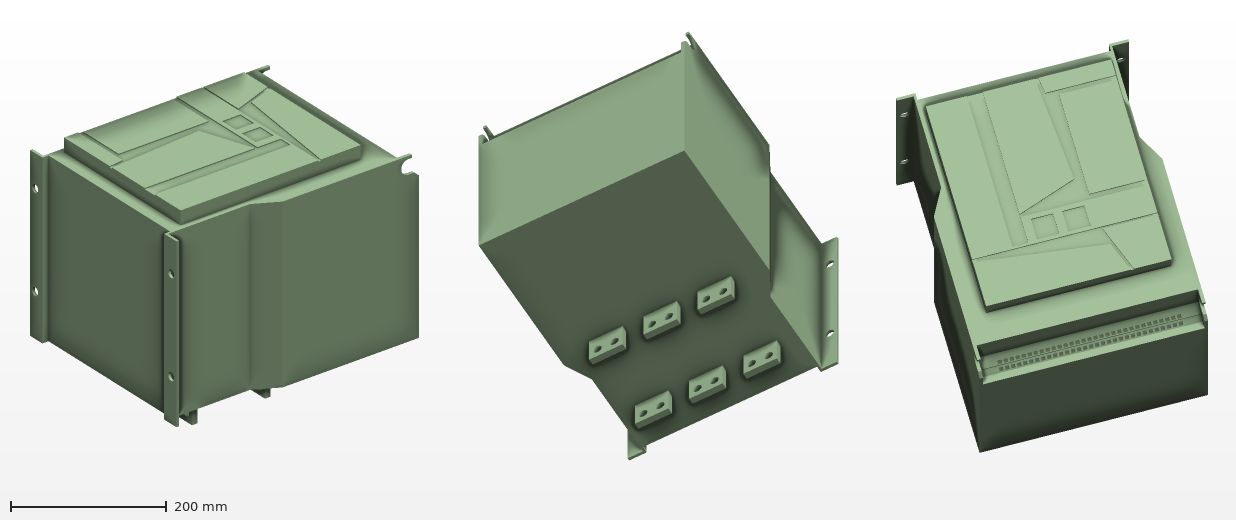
import cadquery as cq
import math

LENGTH = 394.0
HEIGHT = 272.0
WIDE_HALF = 152.5
NECK_HALF = 132.5
NECK_END_Y = 136.5
WIDE_START_Y = 173.8
FRONT_Y = 10.0

BRACKET_WALL = 3.35
FLANGE_THICKNESS = 4.0
FLANGE_SPAN = 310.0
FLANGE_HOLE_X = 144.2
FLANGE_HOLE_DIAMETER = 12.5
FLANGE_HOLE_HEIGHTS = (69.5, 220.0)

SIDE_PLATE = 4.7
RECESS_START_Y = 362.5
SLAT_STEP_Y = 376.3
SHELF_Y = 384.0
SHELF_Z = 216.7
SLAT_ANGLE = 32.0
SLAT_RISER = 1.5

VENT_COUNT = 31
VENT_SPAN = 239.5
VENT_SIZE = 5.0
VENT_DEPTH = 4.0
VENT_ROWS_Y = (380.5, 373.0)

NOTCH_RADIUS = 11.5
NOTCH_Y = 377.0
NOTCH_Z = 255.7
LIP_END_Y = 382.5
NOTCH_CHAMFER_Y = 387.0
NOTCH_CHAMFER_Z = 238.0

PANEL_HALF = 123.7
PANEL_FRONT_Y = 30.7
PANEL_BACK_Y = 322.0
PANEL_HEIGHT = 21.5
PAD_THICKNESS = 1.77

UPPER_LEFT_FRONT_Y = 256.5
MIDDLE_TOP_Y = 253.7
BAND_FRONT_Y = 212.8
STRIP_LEFT_X = 47.5
STRIP_RIGHT_X = 69.0
STRIP_BACK_Y = 250.5
STRIP_CORNER = 2.0
BUTTON_SIZE = 29.5
BUTTON_CENTRES_X = (-21.0, 21.0)
BUTTON_Y = 234.0
DISPLAY_LEFT_X = -120.0
DISPLAY_RIGHT_X = -46.0
DISPLAY_FRONT_Y = 60.0
DISPLAY_BACK_Y = 205.3

UPPER_LEFT_BACK_X = -73.5
UPPER_LEFT_FRONT_X = -49.5
UPPER_RIGHT_BACK_X = -69.0
UPPER_RIGHT_KNEE = (-54.0, 280.0)
UPPER_RIGHT_END_Y = 257.5
LOWER_LEFT_BACK_Y = 53.5
LOWER_LEFT_BACK_X = -29.5
LOWER_LEFT_FRONT_X = -26.5
CENTRE_FRONT_X = -21.5
CENTRE_PEAK = (-33.0, 179.5)
CENTRE_BACK_Y = 209.0

BUSBAR_WIDTH = 49.5
BUSBAR_THICKNESS = 9.0
BUSBAR_LENGTH = 39.5
BUSBAR_PITCH = 80.5
BUSBAR_ROWS_Y = (67.8, 186.0)
BUSBAR_HOLE_DIAMETER = 12.5
BUSBAR_HOLE_OFFSET = 12.5
BUSBAR_HOLE_DROP = 25.2

FLANGE_TIP_X = FLANGE_SPAN / 2
SLAT_SLOPE = math.tan(math.radians(SLAT_ANGLE))
LOWER_SLAT_TOP_Z = SHELF_Z + (SHELF_Y - SLAT_STEP_Y) * SLAT_SLOPE
UPPER_SLAT_FOOT_Z = LOWER_SLAT_TOP_Z + SLAT_RISER
UPPER_SLAT_TOP_Z = UPPER_SLAT_FOOT_Z + (SLAT_STEP_Y - RECESS_START_Y) * SLAT_SLOPE
GROOVE_FLOOR_Z = HEIGHT + PANEL_HEIGHT - PAD_THICKNESS


def box(x0, x1, y0, y1, z0, z1):
    return cq.Workplane("XY").box(x1 - x0, y1 - y0, z1 - z0, centered=False).translate((x0, y0, z0))


def side_profile(points, half_width):
    """Prism of a (Y, Z) outline, centred on X = 0."""
    return cq.Workplane("YZ").polyline(points).close().extrude(half_width, both=True)


def y_hole(x, z, diameter, y0, y1):
    return cq.Workplane("XZ", origin=(x, y0, z)).circle(diameter / 2).extrude(y0 - y1)


def make_enclosure():
    right = [
        (NECK_HALF, FRONT_Y),
        (NECK_HALF, NECK_END_Y),
        (WIDE_HALF, WIDE_START_Y),
        (WIDE_HALF, LENGTH),
    ]
    left = [(-x, y) for x, y in reversed(right)]
    return cq.Workplane("XY").polyline(right + left).close().extrude(HEIGHT)


def make_bracket(side):
    inner_x = NECK_HALF - BRACKET_WALL
    wall = box(inner_x, NECK_HALF, 0, FRONT_Y, 0, HEIGHT)
    flange = box(inner_x, FLANGE_TIP_X, 0, FLANGE_THICKNESS, 0, HEIGHT)
    bracket = wall.union(flange)
    for z in FLANGE_HOLE_HEIGHTS:
        bracket = bracket.cut(y_hole(FLANGE_HOLE_X, z, FLANGE_HOLE_DIAMETER, 0, FLANGE_THICKNESS))
    return bracket if side > 0 else bracket.mirror("YZ")


def make_rear_recess():
    outline = [
        (RECESS_START_Y, HEIGHT),
        (RECESS_START_Y, UPPER_SLAT_TOP_Z),
        (SLAT_STEP_Y, UPPER_SLAT_FOOT_Z),
        (SLAT_STEP_Y, LOWER_SLAT_TOP_Z),
        (SHELF_Y, SHELF_Z),
        (LENGTH, SHELF_Z),
        (LENGTH, HEIGHT),
    ]
    return side_profile(outline, WIDE_HALF - SIDE_PLATE)


def make_notch():
    return (
        cq.Workplane("YZ")
        .moveTo(LENGTH, HEIGHT)
        .lineTo(LIP_END_Y, HEIGHT)
        .lineTo(LIP_END_Y, NOTCH_Z + NOTCH_RADIUS)
        .lineTo(NOTCH_Y, NOTCH_Z + NOTCH_RADIUS)
        .threePointArc((NOTCH_Y - NOTCH_RADIUS, NOTCH_Z), (NOTCH_Y, NOTCH_Z - NOTCH_RADIUS))
        .lineTo(NOTCH_CHAMFER_Y, NOTCH_Z - NOTCH_RADIUS)
        .lineTo(LENGTH, NOTCH_CHAMFER_Z)
        .close()
        .extrude(WIDE_HALF, both=True)
    )


def make_vents():
    """Square blind holes, one row in each slat."""
    pitch = VENT_SPAN / (VENT_COUNT - 1)
    lower_y, upper_y = VENT_ROWS_Y
    lower_z = SHELF_Z + (SHELF_Y - lower_y) * SLAT_SLOPE
    upper_z = UPPER_SLAT_FOOT_Z + (SLAT_STEP_Y - upper_y) * SLAT_SLOPE
    vents = cq.Workplane("XY")
    for y, z in ((lower_y, lower_z), (upper_y, upper_z)):
        slat = cq.Workplane("XY", origin=(0, y, z)).transformed(rotate=(-SLAT_ANGLE, 0, 0))
        squares = slat.rarray(pitch, 4, VENT_COUNT, 1).rect(VENT_SIZE, VENT_SIZE)
        row = squares.extrude(VENT_DEPTH, both=True)
        vents = vents.add(row)
    return vents.combine()


def pad(points):
    """Raised area of the control panel with the given (X, Y) corners."""
    return cq.Workplane("XY", origin=(0, 0, GROOVE_FLOOR_Z)).polyline(points).close().extrude(PAD_THICKNESS)


def rect_pad(x0, x1, y0, y1):
    return box(x0, x1, y0, y1, GROOVE_FLOOR_Z, GROOVE_FLOOR_Z + PAD_THICKNESS)


def make_panel():
    panel = box(-PANEL_HALF, PANEL_HALF, PANEL_FRONT_Y, PANEL_BACK_Y, HEIGHT, GROOVE_FLOOR_Z)

    upper_left = [
        (-PANEL_HALF, PANEL_BACK_Y),
        (UPPER_LEFT_BACK_X, PANEL_BACK_Y),
        (UPPER_LEFT_FRONT_X, UPPER_LEFT_FRONT_Y),
        (-PANEL_HALF, UPPER_LEFT_FRONT_Y),
    ]
    upper_right = [
        (UPPER_RIGHT_BACK_X, PANEL_BACK_Y),
        UPPER_RIGHT_KNEE,
        (PANEL_HALF, UPPER_RIGHT_END_Y),
        (PANEL_HALF, PANEL_BACK_Y),
    ]
    lower_left = [
        (-PANEL_HALF, PANEL_FRONT_Y),
        (-PANEL_HALF, LOWER_LEFT_BACK_Y),
        (LOWER_LEFT_BACK_X, LOWER_LEFT_BACK_Y),
        (LOWER_LEFT_FRONT_X, PANEL_FRONT_Y),
    ]
    lower_centre = [
        (CENTRE_FRONT_X, PANEL_FRONT_Y),
        CENTRE_PEAK,
        (STRIP_LEFT_X, CENTRE_BACK_Y),
        (STRIP_LEFT_X, PANEL_FRONT_Y),
    ]
    for corners in (upper_left, upper_right, lower_left, lower_centre):
        panel = panel.union(pad(corners))

    band = rect_pad(-PANEL_HALF, PANEL_HALF, BAND_FRONT_Y, MIDDLE_TOP_Y)
    right_block = rect_pad(STRIP_RIGHT_X, PANEL_HALF, PANEL_FRONT_Y, MIDDLE_TOP_Y)
    middle = band.union(right_block)
    half = BUTTON_SIZE / 2
    for x in BUTTON_CENTRES_X:
        middle = middle.cut(rect_pad(x - half, x + half, BUTTON_Y - half, BUTTON_Y + half))
    strip = rect_pad(STRIP_LEFT_X, STRIP_RIGHT_X, PANEL_FRONT_Y, STRIP_BACK_Y)
    middle = middle.cut(strip.edges("|Z and >Y").fillet(STRIP_CORNER))
    display = rect_pad(DISPLAY_LEFT_X, DISPLAY_RIGHT_X, DISPLAY_FRONT_Y, DISPLAY_BACK_Y)
    return panel.union(middle).union(display)


def make_busbar(x, y):
    half_width = BUSBAR_WIDTH / 2
    front_y = y - BUSBAR_THICKNESS / 2
    back_y = y + BUSBAR_THICKNESS / 2
    bar = box(x - half_width, x + half_width, front_y, back_y, -BUSBAR_LENGTH, 0)
    for hole_x in (x - BUSBAR_HOLE_OFFSET, x + BUSBAR_HOLE_OFFSET):
        bar = bar.cut(y_hole(hole_x, -BUSBAR_HOLE_DROP, BUSBAR_HOLE_DIAMETER, front_y, back_y))
    return bar


result = make_enclosure().cut(make_rear_recess()).cut(make_notch()).cut(make_vents())
for side in (-1, 1):
    result = result.union(make_bracket(side))
result = result.union(make_panel())
for bar_y in BUSBAR_ROWS_Y:
    for bar_x in (-BUSBAR_PITCH, 0, BUSBAR_PITCH):
        result = result.union(make_busbar(bar_x, bar_y))